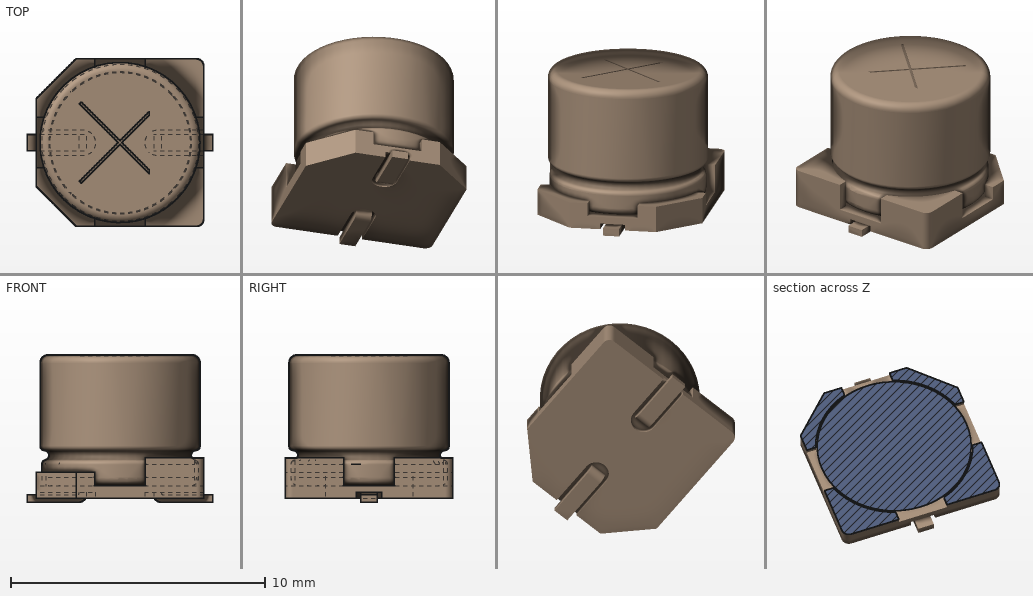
import cadquery as cq
import math

total_height = 5.8
base_bottom = 0.15
recess_top = 0.39
floor_level = 0.66
low_wall_top = 1.19
high_wall_top = 1.75

base_width = 6.6
corner_chamfer = 1.57
corner_radius = 0.3
window_width = 2.0

can_radius = 6.3 / 2
foot_radius = 6.17 / 2
neck_radius = 5.61 / 2
top_rounding = 0.32
foot_rounding = 0.32
shoulder_level = 2.22
neck_level = 1.855
foot_top = 1.49

vent_length = 4.41
vent_width = 0.1
vent_depth = 0.04
segment_edge = 1.145

lead_span = 7.3
lead_width = 0.65
lead_thickness = 0.3
lead_bend_start = 1.62
lead_inner_radius = 0.07
recess_width = 1.0


def block(x_min, x_max, width, bottom, top):
    """Box between two X positions and two levels, centred on Y."""
    return (
        cq.Workplane("XY")
        .box(x_max - x_min, width, top - bottom, centered=(False, True, False))
        .translate((x_min, 0, bottom))
    )


def make_base():
    half = base_width / 2
    window_edge = window_width / 2
    base = block(-half, half, base_width, base_bottom, high_wall_top)
    base = base.edges("|Z and <X").chamfer(corner_chamfer)
    base = base.edges("|Z and >X").fillet(corner_radius)

    base = base.cut(block(-half, window_edge, base_width, low_wall_top, high_wall_top))

    base = base.cut(block(-half, half, window_width, floor_level, high_wall_top))
    base = base.cut(block(-window_edge, window_edge, base_width, floor_level, high_wall_top))

    seat = (
        cq.Workplane("XY", origin=(0, 0, floor_level))
        .circle(foot_radius)
        .extrude(high_wall_top - floor_level)
    )
    return base.cut(seat)


def make_can():
    arc_share = math.sqrt(0.5)
    foot_flat = foot_radius - foot_rounding
    top_flat = can_radius - top_rounding
    profile = (
        cq.Workplane("XZ")
        .moveTo(0, floor_level)
        .lineTo(foot_flat, floor_level)
        .threePointArc(
            (foot_flat + foot_rounding * arc_share, floor_level + foot_rounding * (1 - arc_share)),
            (foot_radius, floor_level + foot_rounding),
        )
        .lineTo(foot_radius, foot_top)
        .tangentArcPoint(((foot_radius + neck_radius) / 2, (foot_top + neck_level) / 2), relative=False)
        .tangentArcPoint((neck_radius, neck_level), relative=False)
        .tangentArcPoint(((can_radius + neck_radius) / 2, (shoulder_level + neck_level) / 2), relative=False)
        .tangentArcPoint((can_radius, shoulder_level), relative=False)
        .lineTo(can_radius, total_height - top_rounding)
        .threePointArc(
            (top_flat + top_rounding * arc_share, total_height - top_rounding * (1 - arc_share)),
            (top_flat, total_height),
        )
        .lineTo(0, total_height)
        .close()
    )
    return profile.revolve(360, (0, 0, 0), (0, 1, 0))


def make_vent_cross():
    vent_bottom = total_height - vent_depth
    groove = block(-vent_length / 2, vent_length / 2, vent_width, vent_bottom, total_height)
    cross = cq.Workplane("XY")
    for angle in (45, -45):
        cross = cross.union(groove.rotate((0, 0, 0), (0, 0, 1), angle))
    return cross.cut(block(segment_edge, can_radius, base_width, vent_bottom, total_height))


def make_lead_recess():
    """Slot under the +X side of the base, rounded at its inner end around the lead's leg."""
    leg_center = lead_bend_start - lead_thickness / 2
    depth = recess_top - base_bottom
    slot = block(leg_center, base_width / 2, recess_width, base_bottom, recess_top)
    round_end = (
        cq.Workplane("XY", origin=(leg_center, 0, base_bottom))
        .circle(recess_width / 2)
        .extrude(depth)
    )
    return slot.union(round_end)


def make_lead():
    """L-shaped lead on the +X side: a foot on the ground and a leg up into the base."""
    leg_inside = lead_bend_start - lead_thickness
    lead = (
        cq.Workplane("XZ")
        .moveTo(leg_inside, floor_level)
        .lineTo(leg_inside, lead_thickness)
        .tangentArcPoint((lead_bend_start, 0), relative=False)
        .lineTo(lead_span / 2, 0)
        .lineTo(lead_span / 2, lead_thickness)
        .lineTo(lead_bend_start + lead_inner_radius, lead_thickness)
        .tangentArcPoint((lead_bend_start, lead_thickness + lead_inner_radius), relative=False)
        .lineTo(lead_bend_start, floor_level)
        .close()
        .extrude(lead_width / 2, both=True)
    )
    return lead


base = make_base()
leads = cq.Workplane("XY")
for turn in (0, 180):
    base = base.cut(make_lead_recess().rotate((0, 0, 0), (0, 0, 1), turn))
    leads = leads.union(make_lead().rotate((0, 0, 0), (0, 0, 1), turn))

can = make_can().cut(make_vent_cross())
result = base.union(leads).union(can)